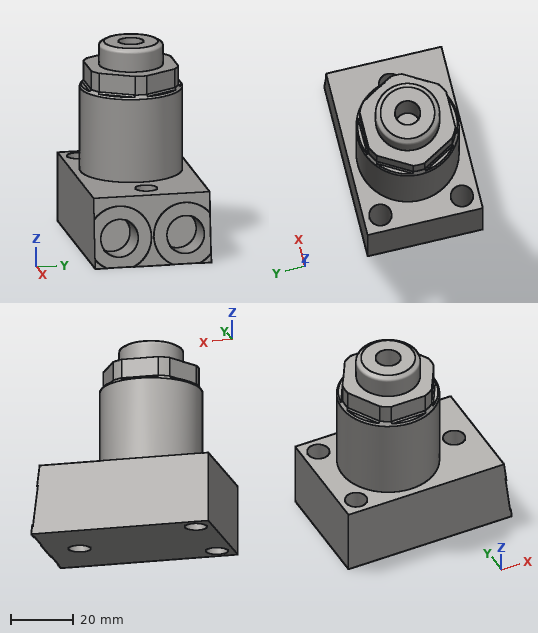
import cadquery as cq
import math

base_length = 58.75
base_width = 38.1
base_height = 22.9
end_slope = 7.0

mount_diameter = 7.2
mount_edge_offset = 5.55
mount_pair_half_pitch = 13.45
single_mount_x = 47.6

body_x = 23.85
body_radius = 16.55
shoulder_z = 50.45
ledge_z = 51.1

hex_foot_top_z = 51.7
hex_top_z = 57.9
hex_half_flats = 14.3
hex_corner_radius = 15.55
foot_flare = 0.5

total_height = 65.35
boss_radius = 10.3
boss_top_radius = 8.7
boss_edge_angle = 30.0
boss_blend_radius = 0.85
bore_diameter = 8.1
bore_depth = 13.1

port_half_pitch = 10.85
port_z = 9.5
port_diameter = 12.3
port_depth = 13.1
spotface_diameter = 20.9
spotface_depth = 0.25


def make_base():
    end_run = base_height * math.tan(math.radians(end_slope))
    block = (
        cq.Workplane("XZ")
        .moveTo(0, 0)
        .lineTo(base_length, 0)
        .lineTo(base_length - end_run, base_height)
        .lineTo(0, base_height)
        .close()
        .extrude(base_width / 2, both=True)
    )
    mount_points = [
        (mount_edge_offset, mount_pair_half_pitch),
        (mount_edge_offset, -mount_pair_half_pitch),
        (single_mount_x, 0),
    ]
    holes = (
        cq.Workplane("XY")
        .pushPoints(mount_points)
        .circle(mount_diameter / 2)
        .extrude(base_height)
    )
    return block.cut(holes)


def make_port(y):
    """Cutter for one port, square to the sloping end."""
    slope = math.radians(end_slope)
    centre = cq.Vector(base_length - port_z * math.tan(slope), y, port_z)
    outward = cq.Vector(math.cos(slope), 0, math.sin(slope))
    inward = outward * -1
    start = centre + outward * spotface_depth
    spotface = cq.Solid.makeCylinder(spotface_diameter / 2, 2 * spotface_depth, start, inward)
    bore = cq.Solid.makeCylinder(port_diameter / 2, port_depth, centre, inward)
    return cq.Workplane(spotface).union(cq.Workplane(bore))


def upright_cylinder(radius, bottom, top):
    return cq.Workplane("XY", origin=(body_x, 0, bottom)).circle(radius).extrude(top - bottom)


def make_shoulder_cone():
    """Cone from the body up to the rounded corners of the hexagon."""
    cone = cq.Solid.makeCone(
        body_radius,
        hex_corner_radius,
        hex_foot_top_z - shoulder_z,
        cq.Vector(body_x, 0, shoulder_z),
    )
    return cq.Workplane(cone)


def make_body():
    barrel = upright_cylinder(body_radius, base_height, shoulder_z)
    below_ledge = upright_cylinder(body_radius, shoulder_z, ledge_z)
    return barrel.union(make_shoulder_cone().intersect(below_ledge))


def hexagon(half_flats, z):
    """Hexagon outline with two flats facing +Y and -Y."""
    corner_diameter = 2 * half_flats / math.cos(math.pi / 6)
    return cq.Workplane("XY", origin=(body_x, 0, z)).polygon(6, corner_diameter)


def make_hexagon():
    hex_height = hex_top_z - hex_foot_top_z
    upper = hexagon(hex_half_flats, hex_foot_top_z).extrude(hex_height)
    corner_round = upright_cylinder(hex_corner_radius, hex_foot_top_z, hex_top_z)
    upper = upper.intersect(corner_round)

    foot_height = hex_foot_top_z - ledge_z
    taper = math.degrees(math.atan2(foot_flare, foot_height))
    foot = hexagon(hex_half_flats + foot_flare, ledge_z).extrude(foot_height, taper=taper)
    return upper.union(foot.intersect(make_shoulder_cone()))


def make_boss():
    edge_run = boss_radius - boss_top_radius
    edge_drop = edge_run * math.tan(math.radians(boss_edge_angle))
    rim_z = total_height - edge_drop
    profile = (
        cq.Workplane("XZ", origin=(body_x, 0, 0))
        .moveTo(0, hex_top_z)
        .lineTo(boss_radius, hex_top_z)
        .lineTo(boss_radius, rim_z)
        .lineTo(boss_top_radius, total_height)
        .lineTo(0, total_height)
        .close()
    )
    boss = profile.revolve(360, (0, 0, 0), (0, 1, 0))
    return boss.faces("%CONE").edges("<Z").fillet(boss_blend_radius)


bore = upright_cylinder(bore_diameter / 2, total_height - bore_depth, total_height)

result = make_base().union(make_body()).union(make_hexagon()).union(make_boss()).clean().cut(bore)
for side in (-1, 1):
    result = result.cut(make_port(side * port_half_pitch))